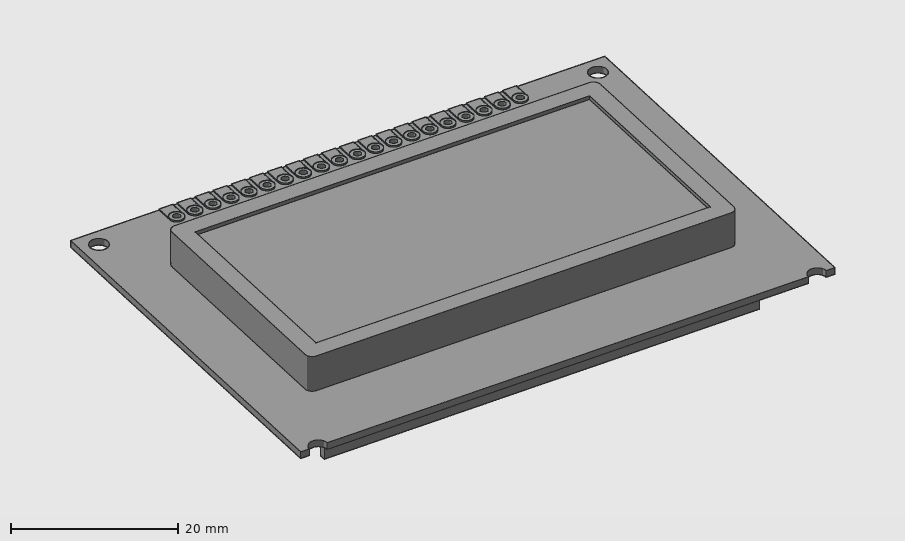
import cadquery as cq

board_width = 52.7
board_length = 75.0
board_thickness = 1.0

mount_diameter = 2.5
mount_edge_distance = 2.5

frame_left = 10.1
frame_width = 32.5
frame_length = 60.15
frame_height = 5.0
frame_corner_radius = 1.0
frame_border = 2.4
window_depth = 0.5

pad_count = 20
pad_row_length = 48.2
pad_width = 1.95
pad_height = 0.15
pad_ring_height = 0.2
pad_hole_diameter = 1.0
pad_hole_distance = 2.5

wall_height = 5.5
wall_front = 6.5
wall_length = 61.1
left_wall_x = 10.35
left_wall_thickness = 1.1
right_wall_x = 46.6
right_wall_thickness = 0.9

middle_y = board_length / 2
frame_center_x = frame_left + frame_width / 2
pad_pitch = pad_row_length / (pad_count - 1)
pad_positions = [middle_y - pad_row_length / 2 + i * pad_pitch for i in range(pad_count)]


def box_from(x, y, z, width, length, height):
    """Box with its lowest corner at (x, y, z)."""
    return cq.Workplane("XY").box(width, length, height, centered=False).translate((x, y, z))


def make_board():
    board = box_from(0, 0, -board_thickness, board_width, board_length, board_thickness)
    centers = [
        (x, y)
        for x in (mount_edge_distance, board_width)
        for y in (mount_edge_distance, board_length - mount_edge_distance)
    ]
    cutters = (
        cq.Workplane("XY").pushPoints(centers).circle(mount_diameter / 2).extrude(-board_thickness)
    )
    return board.cut(cutters)


def make_frame():
    frame = (
        cq.Workplane("XY")
        .center(frame_center_x, middle_y)
        .rect(frame_width, frame_length)
        .extrude(frame_height)
        .edges("|Z")
        .fillet(frame_corner_radius)
    )
    window = (
        cq.Workplane("XY", origin=(frame_center_x, middle_y, frame_height))
        .rect(frame_width - 2 * frame_border, frame_length - 2 * frame_border)
        .extrude(-window_depth)
    )
    return frame.cut(window)


def add_pads(body):
    """Flat strips from the board edge, each ending in a raised ring around a through hole."""
    for y in pad_positions:
        body = body.union(box_from(0, y - pad_width / 2, 0, pad_hole_distance, pad_width, pad_height))
    centers = [(pad_hole_distance, y) for y in pad_positions]
    rings = cq.Workplane("XY").pushPoints(centers).circle(pad_width / 2).extrude(pad_ring_height)
    holes = (
        cq.Workplane("XY", origin=(0, 0, -board_thickness))
        .pushPoints(centers)
        .circle(pad_hole_diameter / 2)
        .extrude(board_thickness + pad_ring_height)
    )
    return body.union(rings).cut(holes)


def make_wall(x, thickness):
    return box_from(x, wall_front, -board_thickness - wall_height, thickness, wall_length, wall_height)


left_wall = make_wall(left_wall_x, left_wall_thickness)
right_wall = make_wall(right_wall_x, right_wall_thickness)
result = add_pads(make_board()).union(make_frame()).union(left_wall).union(right_wall)